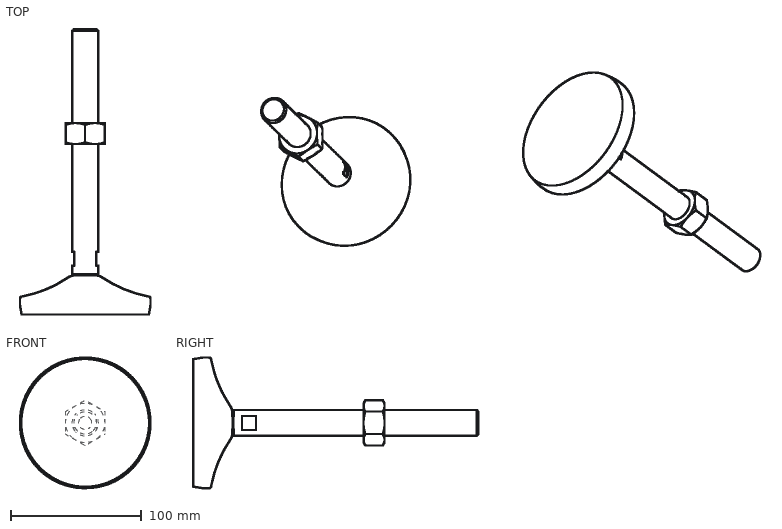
import cadquery as cq
import math


base_radius = 50.0
floor_radius = 48.75
taper_height = 7.4
rim_height = 12.0
rim_fillet = 2.0
crown_height = 30.0
crown_flat_radius = 8.3
crown_blend_radius = 8.0
flare_top_angle = 34.0

overall_height = 218.0
stud_radius = 10.0
stud_bottom = 31.0
stud_chamfer = 1.5
neck_radius = 5.0

flats_bottom = 37.5
flats_height = 10.5
flats_across = 17.0

nut_sides = 6
nut_across_flats = 30.0
nut_height = 16.0
nut_bottom = 130.25
nut_face_radius = nut_across_flats / 2
nut_chamfer_angle = 30.0


def revolve_about_y(profile):
    return profile.close().revolve(360, (0, 0, 0), (0, 1, 0))


def make_base():
    """Plate with a tapered rim and a concave flare rising to a rounded crown."""
    shoulder_radius = base_radius - rim_fillet
    shoulder_height = rim_height + rim_fillet
    slope = math.radians(flare_top_angle)
    flare_top_radius = crown_flat_radius + crown_blend_radius * math.sin(slope)
    flare_top_height = crown_height - crown_blend_radius * (1 - math.cos(slope))
    profile = (
        cq.Workplane("XY")
        .moveTo(0, crown_height)
        .lineTo(crown_flat_radius, crown_height)
        .tangentArcPoint((flare_top_radius, flare_top_height), relative=False)
        .tangentArcPoint((shoulder_radius, shoulder_height), relative=False)
        .radiusArc((base_radius, rim_height), rim_fillet)
        .lineTo(base_radius, taper_height)
        .lineTo(floor_radius, 0)
        .lineTo(0, 0)
    )
    return revolve_about_y(profile)


def make_stud():
    """Rod with a chamfered free end, joined to the base by a thin neck."""
    profile = (
        cq.Workplane("XY")
        .moveTo(0, rim_height)
        .lineTo(neck_radius, rim_height)
        .lineTo(neck_radius, stud_bottom)
        .lineTo(stud_radius, stud_bottom)
        .lineTo(stud_radius, overall_height - stud_chamfer)
        .lineTo(stud_radius - stud_chamfer, overall_height)
        .lineTo(0, overall_height)
    )
    return revolve_about_y(profile)


def cut_wrench_flats(stud):
    """Cut two opposite flats, facing -X and +X."""
    cut_depth = stud_radius - flats_across / 2
    for side in (-1, 1):
        cutter = cq.Workplane("XY").box(cut_depth, flats_height, 2 * stud_radius)
        cut_center = side * (flats_across + cut_depth) / 2
        stud = stud.cut(cutter.translate((cut_center, flats_bottom + flats_height / 2, 0)))
    return stud


def make_nut():
    """Hexagon with flats facing -X and +X and both ends chamfered conically."""
    half_sector = 180 / nut_sides
    corner_radius = nut_across_flats / (2 * math.cos(math.radians(half_sector)))
    chamfer_height = (corner_radius - nut_face_radius) * math.tan(math.radians(nut_chamfer_angle))
    nut_top = nut_bottom + nut_height
    hexagon = (
        cq.Workplane("XZ", origin=(0, nut_bottom, 0))
        .polygon(nut_sides, 2 * corner_radius)
        .extrude(-nut_height)
        .rotate((0, 0, 0), (0, 1, 0), half_sector)
    )
    envelope = revolve_about_y(
        cq.Workplane("XY")
        .moveTo(0, nut_bottom)
        .lineTo(nut_face_radius, nut_bottom)
        .lineTo(corner_radius, nut_bottom + chamfer_height)
        .lineTo(corner_radius, nut_top - chamfer_height)
        .lineTo(nut_face_radius, nut_top)
        .lineTo(0, nut_top)
    )
    return hexagon.intersect(envelope)


result = make_base().union(cut_wrench_flats(make_stud())).union(make_nut())